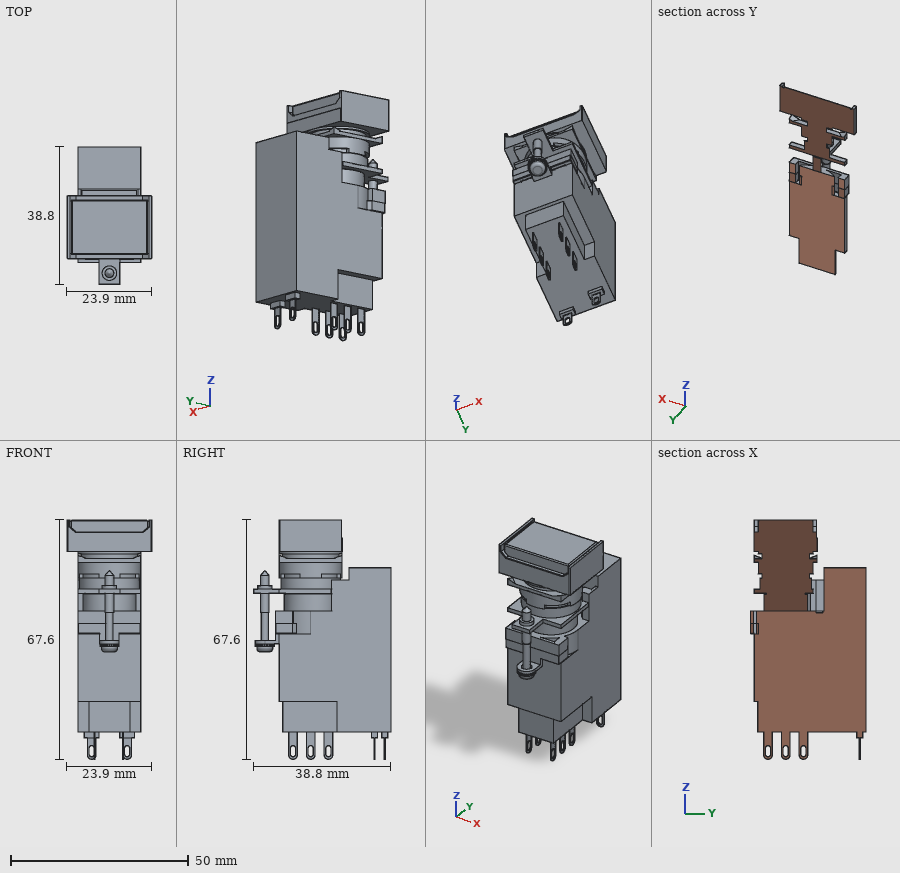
import cadquery as cq


body_width = 17.8
body_half = body_width / 2
collar_radius = body_half
shoulder_z = 27.7
flange_z = 34.2
barrel_radius = 7.5
plate_bottom_z = 39.1
plate_thickness = 1.2
plate_top_z = plate_bottom_z + plate_thickness
groove_width = 0.2
barrel_top_z = plate_bottom_z - groove_width
groove_radius = 7.0

housing_back_y = 22.7
tower_z = 46.4
tower_front_y = 10.75
ledge_z = 42.95
ledge_front_y = 5.9
clearance_radius = 9.0
pit_half_width = 8.05
pit_front_y = 8.6
pit_mouth_half_width = 5.6
pit_rim = 0.35
pit_rim_depth = 0.5
foot_height = 8.55
foot_half_width = 5.8
foot_front_y = -7.95
foot_back_y = 7.35

block_front_y = -10.0
block_back_y = -5.2
block_root_x = 7.5
block_root_y = -4.8
strip_top_z = 30.6
strip_back_y = -5.1
strip_root_x = 7.9
strip_root_y = -4.0
strip_chamfer = 0.2
pocket_half_width = 6.8
pocket_front_y = -9.05
pocket_arc_radius = 9.3

screw_y = -12.95
tab_radius = 2.75
tab_thickness = 1.0
tab_bottom_z = 24.85
tab_top_z = tab_bottom_z + tab_thickness
tab_hole_radius = 1.5

terminal_tip_z = -7.7
terminal_width = 2.5
terminal_thickness = 0.3
slot_width = 1.4
slot_length = 3.1
slot_center_z = -5.4
contact_columns_x = (-4.25, 3.8)
contact_rows_y = (-5.0, 0.0, 5.0)
lamp_terminals = ((-5.0, 20.9), (5.0, 18.0))
lamp_base_size = (4.2, 1.8, 1.65)

bezel_size_x = 23.9
bezel_size_y = 17.9
bezel_bottom_z = 50.9
bezel_top_z = 59.9
bezel_edge_chamfer = 0.25
back_relief = 0.2
back_relief_z = 54.8
window_half_top = 11.15
window_half_bottom = 9.4
window_corner_z = 57.95
window_bottom_z = 56.5
window_chamfer = 0.2
chamfer_angle = 45.0
lens_size_x = 21.5
lens_size_y = 15.5
lens_chamfer = 0.35
gasket_height = 0.6
neck_radius = 8.0
lug_slab_bottom_z = 47.85
lug_slab_top_z = 48.9
lug_rise = 1.0
lug_ramp_length = 2.6
collar_bottom_z = 43.4
ring_radius = 8.45
notch_height = 1.2
notch_inner_radius = 8.0
notch_start = 3.0

plate_back_y = 5.67
plate_tab_width = 5.9
plate_tab_end_y = -16.1
boss_radius = 2.05
boss_height = 1.05

thread_radius = 1.25
shank_radius = 1.05
thread_bottom_z = 33.8
cone_base_z = 44.2
screw_tip_z = 45.6
washer_radius = 2.7
washer_thickness = 0.65
head_radius = 2.25
head_rim_z = 23.45
head_flat_radius = 1.3
head_bottom_z = 22.6
tooth_count = 24
tooth_gap = 0.2
tooth_depth = 0.25


def box(x0, x1, y0, y1, z0, z1):
    """Box between opposite corners."""
    return cq.Workplane("XY").box(x1 - x0, y1 - y0, z1 - z0, centered=False).translate((x0, y0, z0))


def cylinder(radius, z0, z1, y=0.0):
    """Vertical cylinder on the X = 0 plane."""
    return cq.Workplane("XY", origin=(0, y, z0)).circle(radius).extrude(z1 - z0)


def prism(half_outline, z0, z1):
    """Vertical prism whose right half outline is mirrored about X = 0."""
    mirrored = [(-x, y) for x, y in reversed(half_outline)]
    return cq.Workplane("XY", origin=(0, 0, z0)).polyline(half_outline + mirrored).close().extrude(z1 - z0)


def make_terminal_blade():
    """Upright blade in the XZ plane with a round tip and a wire slot, centred on Y = 0."""
    radius = terminal_width / 2
    tip_center_z = terminal_tip_z + radius
    blade = (
        cq.Workplane("XZ", origin=(0, terminal_thickness / 2, 0))
        .moveTo(-radius, 0)
        .lineTo(-radius, tip_center_z)
        .threePointArc((0, terminal_tip_z), (radius, tip_center_z))
        .lineTo(radius, 0)
        .close()
        .extrude(terminal_thickness)
    )
    slot = (
        cq.Workplane("XZ", origin=(0, terminal_width, slot_center_z))
        .slot2D(slot_length, slot_width, 90)
        .extrude(2 * terminal_width)
    )
    return blade.cut(slot)


def make_corner_pockets():
    """Two triangular pockets between the clamp front wall and an arc around the barrel axis."""
    pocket_box = box(
        -pocket_half_width, pocket_half_width, pocket_front_y, block_root_y, shoulder_z, flange_z
    )
    return pocket_box.cut(cylinder(pocket_arc_radius, shoulder_z, flange_z))


def make_clamp_block():
    """Block ahead of the barrel flange."""
    block = prism(
        [(block_root_x, block_root_y), (body_half, block_back_y), (body_half, block_front_y)],
        strip_top_z,
        flange_z,
    )
    return block.cut(make_corner_pockets())


def make_strip():
    """Chamfered strip under the clamp block, wrapped around the flange."""
    strip = prism(
        [(strip_root_x, strip_root_y), (body_half, strip_back_y), (body_half, block_front_y)],
        shoulder_z,
        strip_top_z,
    )
    strip = strip.faces("<Y").edges("|Z").chamfer(strip_chamfer)
    strip = strip.faces("<Z").edges("not >Y").chamfer(strip_chamfer)
    return strip.cut(make_corner_pockets()).cut(cylinder(collar_radius, shoulder_z, strip_top_z))


def make_screw_tab():
    """Angle tab that drops from the strip and reaches forward around the screw."""
    upright_top_z = shoulder_z + strip_chamfer
    upright = box(-tab_radius, tab_radius, block_front_y, -body_half, tab_bottom_z, upright_top_z)
    arm = box(-tab_radius, tab_radius, screw_y, -body_half, tab_bottom_z, tab_top_z)
    end = cylinder(tab_radius, tab_bottom_z, tab_top_z, screw_y)
    hole = cylinder(tab_hole_radius, tab_bottom_z, tab_top_z, screw_y)
    return upright.union(arm).union(end).cut(hole)


def make_housing():
    side_profile = [
        (-body_half, 0),
        (-body_half, shoulder_z),
        (0, shoulder_z),
        (0, flange_z),
        (ledge_front_y, flange_z),
        (ledge_front_y, ledge_z),
        (tower_front_y, ledge_z),
        (tower_front_y, tower_z),
        (housing_back_y, tower_z),
        (housing_back_y, 0),
    ]
    housing = cq.Workplane("YZ", origin=(-body_half, 0, 0)).polyline(side_profile).close().extrude(body_width)

    housing = housing.cut(cylinder(clearance_radius, flange_z, ledge_z))
    housing = housing.cut(
        box(-pit_half_width, pit_half_width, pit_front_y, tower_front_y, flange_z, ledge_z)
    )
    housing = housing.cut(
        box(-pit_mouth_half_width, pit_mouth_half_width, 0, pit_front_y, flange_z, ledge_z)
    )
    floor_half = pit_half_width - pit_rim
    housing = housing.cut(
        box(-floor_half, floor_half, pit_front_y, tower_front_y - pit_rim, flange_z - pit_rim_depth, flange_z)
    )

    housing = housing.cut(box(-body_half, body_half, -body_half, foot_back_y, 0, foot_height))
    housing = housing.union(
        box(-foot_half_width, foot_half_width, foot_front_y, foot_back_y, 0, foot_height)
    )

    housing = housing.union(cylinder(collar_radius, shoulder_z, flange_z))
    housing = housing.union(make_clamp_block())

    blade = make_terminal_blade()
    contact_blade = blade.rotate((0, 0, 0), (0, 0, 1), 90)
    for x in contact_columns_x:
        for y in contact_rows_y:
            housing = housing.union(contact_blade.translate((x, y, 0)))
    base_x, base_y, base_z = lamp_base_size
    for x, y in lamp_terminals:
        base = cq.Workplane("XY").box(base_x, base_y, base_z).translate((x, y, -base_z / 2))
        housing = housing.union(base).union(blade.translate((x, y, 0)))
    return housing


def make_bracket():
    return make_strip().union(make_screw_tab())


def make_window(start_y, depth, taper=0.0):
    """Window prism running from start_y towards -Y, open past the bezel top."""
    open_z = 2 * bezel_top_z - window_corner_z
    outline = [
        (-window_half_top, open_z),
        (-window_half_top, window_corner_z),
        (-window_half_bottom, window_bottom_z),
        (window_half_bottom, window_bottom_z),
        (window_half_top, window_corner_z),
        (window_half_top, open_z),
    ]
    sketch = cq.Workplane("XZ", origin=(0, start_y, 0)).polyline(outline).close()
    return sketch.extrude(depth, taper=taper)


def make_cap():
    """Bezel with a window cut through front and back, and the lens standing between side seats."""
    half_x = bezel_size_x / 2
    half_y = bezel_size_y / 2
    bezel = box(-half_x, half_x, -half_y, half_y, bezel_bottom_z, bezel_top_z)
    bezel = bezel.edges("|Z").chamfer(bezel_edge_chamfer)
    window = make_window(half_y, bezel_size_y)
    front_chamfer = make_window(-half_y + window_chamfer, window_chamfer, taper=-chamfer_angle)
    relief = box(-half_x, half_x, half_y - back_relief, half_y, back_relief_z, bezel_top_z)
    lens = box(
        -lens_size_x / 2, lens_size_x / 2, -lens_size_y / 2, lens_size_y / 2, window_bottom_z, bezel_top_z
    )
    lens = lens.faces(">Z").edges().chamfer(lens_chamfer)
    seat_half_y = lens_size_y / 2 - lens_chamfer
    seat = box(
        -window_half_top,
        window_half_top,
        -seat_half_y,
        seat_half_y,
        window_bottom_z,
        bezel_top_z - lens_chamfer,
    )
    return bezel.cut(window).cut(front_chamfer).cut(relief).union(seat).union(lens)


def make_lug_slab():
    """Square slab whose four corners ramp up towards their tips."""
    slab = box(-body_half, body_half, -body_half, body_half, lug_slab_bottom_z, lug_slab_top_z)
    foot = body_half - lug_ramp_length
    tip = cq.Vector(body_half, body_half, lug_slab_top_z + lug_rise)
    corner = cq.Vector(body_half, body_half, lug_slab_top_z)
    foot_a = cq.Vector(foot, body_half, lug_slab_top_z)
    foot_b = cq.Vector(body_half, foot, lug_slab_top_z)
    triangles = [
        (corner, foot_a, foot_b),
        (corner, foot_a, tip),
        (corner, foot_b, tip),
        (foot_a, foot_b, tip),
    ]
    faces = [cq.Face.makeFromWires(cq.Wire.makePolygon(list(points), close=True)) for points in triangles]
    ramp = cq.Workplane(cq.Solid.makeSolid(cq.Shell.makeShell(faces)))
    for quarter in range(4):
        slab = slab.union(ramp.rotate((0, 0, 0), (0, 0, 1), 90 * quarter))
    return slab


def make_operator():
    gasket_bottom_z = bezel_bottom_z - gasket_height
    operator = make_cap()
    operator = operator.union(cylinder(collar_radius, gasket_bottom_z, bezel_bottom_z))
    operator = operator.union(cylinder(neck_radius, lug_slab_top_z, gasket_bottom_z))
    operator = operator.union(make_lug_slab())

    notch_top_z = collar_bottom_z + notch_height
    collar = cylinder(collar_radius, collar_bottom_z, lug_slab_bottom_z)
    notch_core = cylinder(notch_inner_radius, collar_bottom_z, notch_top_z)
    for side_x in (-1, 1):
        for side_y in (-1, 1):
            center = (notch_start + collar_radius) / 2
            size = collar_radius - notch_start
            notch = cq.Workplane("XY").box(size, size, notch_height)
            notch = notch.translate((side_x * center, side_y * center, collar_bottom_z + notch_height / 2))
            collar = collar.cut(notch.cut(notch_core))
    operator = operator.union(collar)

    operator = operator.union(cylinder(ring_radius, plate_top_z, collar_bottom_z))
    operator = operator.union(make_plate())

    operator = operator.union(cylinder(groove_radius, barrel_top_z, plate_bottom_z))
    return operator.union(cylinder(barrel_radius, flange_z, barrel_top_z))


def make_plate():
    """Plate around the barrel with a tab and boss for the screw."""
    plate = box(-body_half, body_half, -body_half, plate_back_y, plate_bottom_z, plate_top_z)
    plate = plate.union(cylinder(collar_radius, plate_bottom_z, plate_top_z))
    tab_half = plate_tab_width / 2
    tab = box(-tab_half, tab_half, plate_tab_end_y, -body_half, plate_bottom_z, plate_top_z)
    plate = plate.union(tab)
    boss_top_z = plate_top_z + boss_height
    plate = plate.union(cylinder(boss_radius, plate_top_z, boss_top_z, screw_y))
    return plate.cut(cylinder(thread_radius, plate_bottom_z, boss_top_z, screw_y))


def make_screw():
    washer_bottom_z = tab_bottom_z - washer_thickness
    screw = (
        cq.Workplane("XZ")
        .moveTo(0, head_bottom_z)
        .lineTo(head_flat_radius, head_bottom_z)
        .tangentArcPoint((head_radius, head_rim_z), relative=False)
        .lineTo(head_radius, washer_bottom_z)
        .lineTo(washer_radius, washer_bottom_z)
        .lineTo(washer_radius, tab_bottom_z)
        .lineTo(shank_radius, tab_bottom_z)
        .lineTo(shank_radius, thread_bottom_z)
        .lineTo(thread_radius, thread_bottom_z)
        .lineTo(thread_radius, cone_base_z)
        .lineTo(0, screw_tip_z)
        .close()
        .revolve(360, (0, 0, 0), (0, 1, 0))
    )
    gap_root = washer_radius - tooth_depth
    half_gap = tooth_gap / 2
    gap = box(gap_root, washer_radius, -half_gap, half_gap, washer_bottom_z, tab_bottom_z)
    for tooth in range(tooth_count):
        screw = screw.cut(gap.rotate((0, 0, 0), (0, 0, 1), tooth * 360 / tooth_count))
    return screw.translate((0, screw_y, 0))


housing = make_housing()
bracket = make_bracket()
operator = make_operator()
screw = make_screw()

result = cq.Compound.makeCompound([housing.val(), bracket.val(), operator.val(), screw.val()])